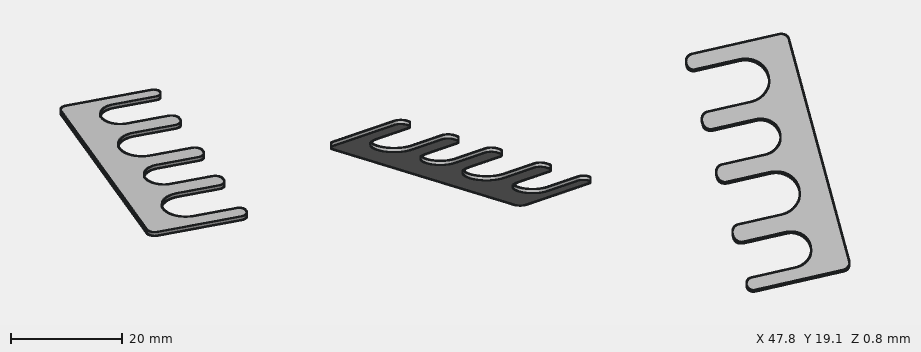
import cadquery as cq

length = 47.75
depth = 19.05
thickness = 0.8

narrow_slot = 7.15
wide_slot = 8.6
slot_widths = [narrow_slot, wide_slot, narrow_slot, wide_slot]
slot_center_y = 9.6
first_tooth = 2.55
inner_tooth = 3.55

corner_radius = 1.5
end_tooth_radius = 1.25


def slot_cutter(left, width):
    """Open slot whose bottom is a half circle."""
    right = left + width
    return (
        cq.Workplane("XY")
        .moveTo(left, depth)
        .lineTo(left, slot_center_y)
        .threePointArc((left + width / 2, slot_center_y - width / 2), (right, slot_center_y))
        .lineTo(right, depth)
        .close()
        .extrude(thickness)
    )


def round_corner(body, x, y, radius):
    """Round the vertical edge that stands at (x, y)."""
    near = cq.selectors.BoxSelector(
        (x - radius / 2, y - radius / 2, 0), (x + radius / 2, y + radius / 2, thickness)
    )
    return body.edges("|Z").edges(near).fillet(radius)


plate = cq.Workplane("XY").box(length, depth, thickness, centered=False)

tip_corners = [0]
slot_left = first_tooth
for slot_width in slot_widths:
    slot_right = slot_left + slot_width
    plate = plate.cut(slot_cutter(slot_left, slot_width))
    tip_corners += [slot_left, slot_right]
    slot_left = slot_right + inner_tooth
tip_corners.append(length)

end_tooth_corners = tip_corners[:2] + [tip_corners[-2]]
for x in tip_corners:
    radius = end_tooth_radius if x in end_tooth_corners else corner_radius
    plate = round_corner(plate, x, depth, radius)

for x in (0, length):
    plate = round_corner(plate, x, 0, corner_radius)

result = plate